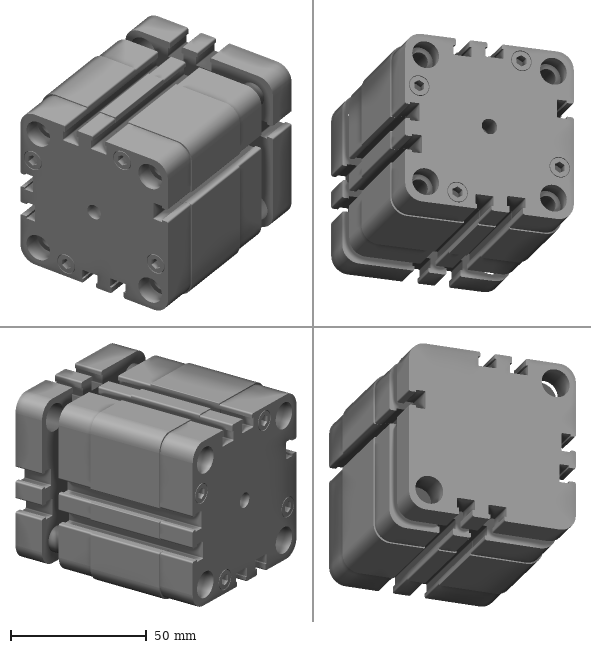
import math
import cadquery as cq

total_length = 80.0
body_length = 60.5
cap_length = 14.7
plate_thickness = 12.0
plate_start = total_length - plate_thickness

cap_width = 66.0
barrel_width = 67.0
corner_radius = 6.5

cap_slot_clearance = 0.05
slot_width = 7.0
slot_floor_radius = 0.4
deep_slot_offset = -10.5
deep_slot_mouth_width = 5.25
deep_slot_floor = 26.5
deep_slot_lip = 30.3
deep_slot_rounding = 0.65
shallow_slot_offset = 2.0
shallow_slot_mouth_width = 5.5
shallow_slot_floor = 27.4
shallow_slot_lip = 31.1
shallow_slot_cap_rounding = 0.65
shallow_slot_barrel_rounding = 0.25
cut_margin = 1.0
side_angles = (0, 90, 180, 270)
plain_angle = 270

corner_offset = 25.0
mounting_hole_diameter = 6.65
counterbore_diameter = 10.5
counterbore_depth = 6.8
plate_hole_diameter = 11.0
guide_rod_diameter = 10.0
guide_rod_offset = 24.0

piston_rod_diameter = 16.0
rod_flats_width = 13.0
rod_flats_start = 62.5
rod_chamfer_length = 1.5
rod_chamfer_angle = 30.0

screw_radial_offset = 27.5
screw_side_offset = 12.5
screw_recess_diameter = 8.0
screw_head_diameter = 7.5
screw_recess_depth = 1.0
socket_sides = 6
socket_across_flats = 3.8
socket_across_corners = socket_across_flats / math.cos(math.pi / socket_sides)
socket_depth = 4.0

centre_hole_diameter = 6.0
centre_hole_depth = 10.0


def section_at(y):
    """Workplane across the part at station y, with local x = X and local y = Z."""
    return cq.Workplane("XZ", origin=(0, y, 0))


def cylinder(x, z, diameter, y_start, y_end):
    """Round bar along Y."""
    return section_at(y_start).center(x, z).circle(diameter / 2).extrude(y_start - y_end)


def around_axis(shape, angle):
    """Turn a shape about Y, counterclockwise when looking along +Y."""
    return shape.rotate((0, 0, 0), (0, 1, 0), -angle)


def slot_cutter(offset, mouth_width, floor, lip, rounding, width, clearance, y_start, y_end):
    """T-slot cutter for the top side, with a rounded mouth and rounded floor corners."""
    half_mouth = mouth_width / 2 + clearance
    slot_bottom = floor - clearance
    channel_top = lip + clearance
    surface = width / 2
    above = surface + cut_margin
    flare = half_mouth + rounding
    arc_inset = rounding * (1 - math.sqrt(0.5))
    mouth = (
        section_at(y_start)
        .moveTo(offset - flare, above)
        .lineTo(offset - flare, surface)
        .threePointArc(
            (offset - half_mouth - arc_inset, surface - arc_inset),
            (offset - half_mouth, surface - rounding),
        )
        .lineTo(offset - half_mouth, slot_bottom)
        .lineTo(offset + half_mouth, slot_bottom)
        .lineTo(offset + half_mouth, surface - rounding)
        .threePointArc(
            (offset + half_mouth + arc_inset, surface - arc_inset),
            (offset + flare, surface),
        )
        .lineTo(offset + flare, above)
        .close()
        .extrude(y_start - y_end)
    )
    channel = (
        section_at(y_start)
        .center(offset, (slot_bottom + channel_top) / 2)
        .rect(slot_width + 2 * clearance, channel_top - slot_bottom)
        .extrude(y_start - y_end)
        .edges("|Y and <Z")
        .fillet(slot_floor_radius)
    )
    return mouth.union(channel)


def slotted_block(width, shallow_rounding, clearance, y_start, y_end):
    """Square block with rounded corners and the slots on its sides."""
    block = (
        section_at(y_start)
        .rect(width, width)
        .extrude(y_start - y_end)
        .edges("|Y")
        .fillet(corner_radius)
    )
    deep_slot = slot_cutter(
        deep_slot_offset, deep_slot_mouth_width, deep_slot_floor, deep_slot_lip,
        deep_slot_rounding, width, clearance, y_start, y_end,
    )
    shallow_slot = slot_cutter(
        shallow_slot_offset, shallow_slot_mouth_width, shallow_slot_floor, shallow_slot_lip,
        shallow_rounding, width, clearance, y_start, y_end,
    )
    for angle in side_angles:
        block = block.cut(around_axis(deep_slot, angle))
        if angle != plain_angle:
            block = block.cut(around_axis(shallow_slot, angle))
    return block


def cap_block(y_start, y_end):
    """Slotted block with the cross-section shared by the caps and the yoke plate."""
    return slotted_block(cap_width, shallow_slot_cap_rounding, cap_slot_clearance, y_start, y_end)


def cylinder_body():
    """Front cap, slightly wider barrel and rear cap."""
    barrel_end = body_length - cap_length
    front_cap = cap_block(0, cap_length)
    barrel = slotted_block(barrel_width, shallow_slot_barrel_rounding, 0, cap_length, barrel_end)
    rear_cap = cap_block(barrel_end, body_length)
    return front_cap.union(barrel).union(rear_cap)


def cut_mounting_holes(body):
    """Counterbored hole through the body at every corner."""
    for x in (-corner_offset, corner_offset):
        for z in (-corner_offset, corner_offset):
            body = body.cut(cylinder(x, z, mounting_hole_diameter, 0, body_length))
            body = body.cut(cylinder(x, z, counterbore_diameter, 0, counterbore_depth))
    return body


def cut_screws(body):
    """Ring gap around each flush screw head, and its hexagon socket with corners along Z."""
    ring = (
        section_at(0)
        .circle(screw_recess_diameter / 2)
        .circle(screw_head_diameter / 2)
        .extrude(-screw_recess_depth)
    )
    socket = (
        section_at(0)
        .polygon(socket_sides, socket_across_corners)
        .extrude(-socket_depth)
        .rotate((0, 0, 0), (0, 1, 0), 90)
    )
    screw_places = (
        (screw_side_offset, screw_radial_offset),
        (-screw_radial_offset, screw_side_offset),
        (-screw_side_offset, -screw_radial_offset),
        (screw_radial_offset, -screw_side_offset),
    )
    for x, z in screw_places:
        body = body.cut(ring.translate((x, 0, z)))
        body = body.cut(socket.translate((x, 0, z)))
    return body


def yoke_plate():
    """Plate at the rod end, open at the two corners without guide rods."""
    plate = cap_block(plate_start, total_length)
    for x in (-corner_offset, corner_offset):
        plate = plate.cut(cylinder(x, -x, plate_hole_diameter, plate_start, total_length))
    return plate


def piston_rod():
    """Round rod with a tapered end and two flats that run out at 45 degrees."""
    radius = piston_rod_diameter / 2
    taper = rod_chamfer_length * math.tan(math.radians(rod_chamfer_angle))
    rod = (
        cq.Workplane("XY")
        .moveTo(0, body_length)
        .lineTo(radius, body_length)
        .lineTo(radius, plate_start - rod_chamfer_length)
        .lineTo(radius - taper, plate_start)
        .lineTo(0, plate_start)
        .close()
        .revolve(360, (0, 0, 0), (0, 1, 0))
    )
    half_flats = rod_flats_width / 2
    flat_depth = radius - half_flats
    flat_cutter = (
        cq.Workplane("XY", origin=(0, 0, -radius))
        .moveTo(half_flats, plate_start)
        .lineTo(half_flats, rod_flats_start)
        .lineTo(radius, rod_flats_start - flat_depth)
        .lineTo(radius, plate_start)
        .close()
        .extrude(piston_rod_diameter)
    )
    return rod.cut(flat_cutter).cut(flat_cutter.mirror("YZ"))


body = cut_screws(cut_mounting_holes(cylinder_body()))
body = body.cut(cylinder(0, 0, centre_hole_diameter, 0, centre_hole_depth))
result = body.union(yoke_plate()).union(piston_rod())
for offset in (-guide_rod_offset, guide_rod_offset):
    result = result.union(cylinder(offset, offset, guide_rod_diameter, body_length, plate_start))